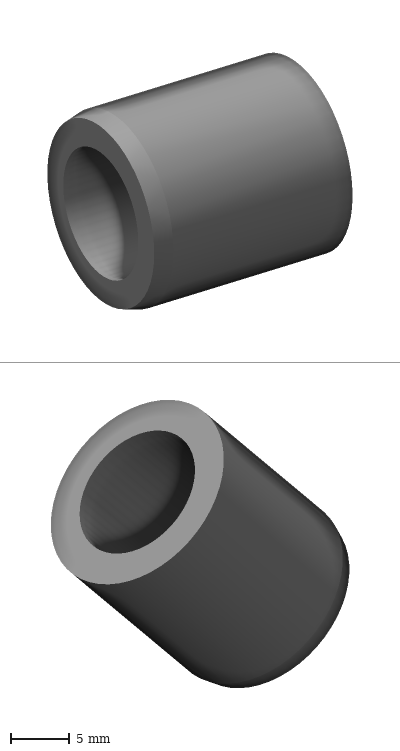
import cadquery as cq
import math

length = 20.0
outer_diameter = 18.0
bore_diameter = 12.0
taper_length = 1.68
taper_angle = 15.0

outer_radius = outer_diameter / 2
bore_radius = bore_diameter / 2
tip_radius = outer_radius - taper_length * math.tan(math.radians(taper_angle))
front_y = -length / 2
back_y = length / 2

wall_section = (
    cq.Workplane("XY")
    .moveTo(bore_radius, front_y)
    .lineTo(tip_radius, front_y)
    .lineTo(outer_radius, front_y + taper_length)
    .lineTo(outer_radius, back_y)
    .lineTo(bore_radius, back_y)
    .close()
)

result = wall_section.revolve(360, (0, 0, 0), (0, 1, 0))